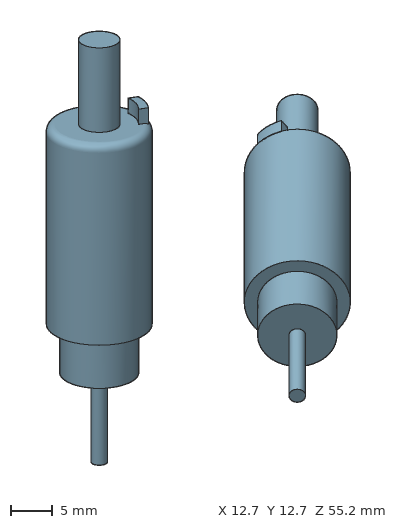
import cadquery as cq

pin_diameter = 2.0
collar_diameter = 9.5
body_diameter = 12.7
shaft_diameter = 5.0

collar_bottom = 11.7
body_bottom = 18.05
body_top = 44.2
total_height = 55.25
body_rounding = 1.0

tab_width = 3.55
tab_inner_radius = 4.7
tab_outer_radius = 5.9
tab_top = 46.2


def cylinder(diameter, bottom, top):
    """Cylinder about the Z axis between two heights."""
    return cq.Workplane("XY").workplane(offset=bottom).circle(diameter / 2).extrude(top - bottom)


def key_tab():
    """Segment of a ring with parallel sides, rooted below the rounded rim."""
    root = body_top - body_rounding
    height = tab_top - root
    plane = cq.Workplane("XY").workplane(offset=root)
    ring = plane.circle(tab_outer_radius).circle(tab_inner_radius).extrude(height)
    strip = (
        plane.center(0, tab_outer_radius / 2)
        .rect(tab_width, tab_outer_radius)
        .extrude(height)
    )
    return ring.intersect(strip)


pin = cylinder(pin_diameter, 0, collar_bottom)
collar = cylinder(collar_diameter, collar_bottom, body_bottom)
body = cylinder(body_diameter, body_bottom, body_top).faces(">Z").edges().fillet(body_rounding)
shaft = cylinder(shaft_diameter, body_top, total_height)

result = body.union(collar).union(pin).union(shaft).union(key_tab())